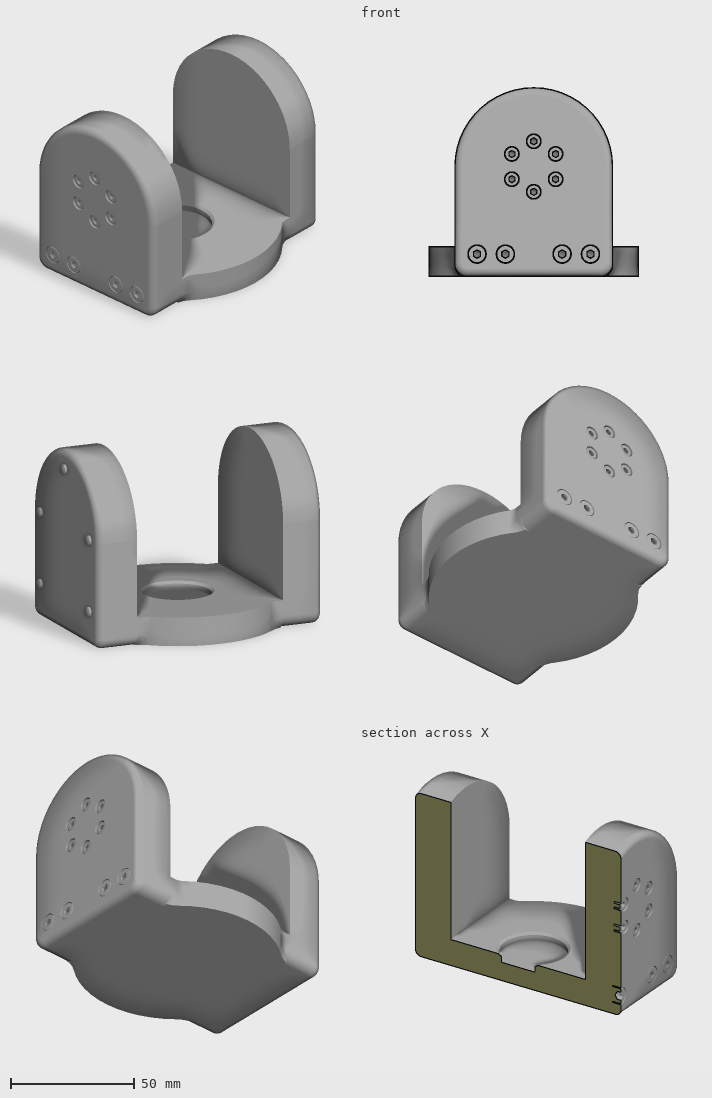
import cadquery as cq
import math

wall_width = 64.0
half_width = wall_width / 2
wall_outer_y = 50.0
wall_inner_y = 32.5
wall_thickness = wall_outer_y - wall_inner_y
crown_radius = half_width
crown_z = 44.5
edge_fillet = 3.0
front_corner_radius = 5.0
rear_corner_radius = 4.0

base_thickness = 12.0
base_corner_radius = 4.5
disc_radius = 42.5
neck_fillet = 5.0

pocket_diameter = 28.0
pocket_depth = 3.5
pocket_chamfer = 1.0

small_bore_diameter = 6.0
small_head_diameter = 5.5
small_hex_flats = 2.5
small_head_height = 3.0
small_head_recess = 0.5
small_screw_circle_radius = 10.25
small_screw_count = 6

large_bore_diameter = 7.5
large_head_diameter = 7.0
large_hex_flats = 3.0
large_head_height = 4.0
large_head_recess = 0.1
large_screw_xs = (-23.0, -11.5, 11.5, 23.0)
large_screw_z = 9.0

head_edge_fillet = 0.25
socket_depth_ratio = 0.5
socket_point_angle = 120.0

button_diameter = 4.0
button_height = 1.38
button_dome_height = 0.4
button_inset = 8.0
button_low_z = 14.5


def wall(corner_radius, outward):
    """Upright wall with a round crown and filleted outer rim; outward is -1 for front, 1 for rear."""
    arc_mid = corner_radius * (1 - math.sqrt(0.5))
    return (
        cq.Workplane("XZ", origin=(0, outward * wall_inner_y, 0))
        .moveTo(-half_width + corner_radius, 0)
        .lineTo(half_width - corner_radius, 0)
        .threePointArc((half_width - arc_mid, arc_mid), (half_width, corner_radius))
        .lineTo(half_width, crown_z)
        .threePointArc((0, crown_z + crown_radius), (-half_width, crown_z))
        .lineTo(-half_width, corner_radius)
        .threePointArc((-half_width + arc_mid, arc_mid), (-half_width + corner_radius, 0))
        .close()
        .extrude(-outward * wall_thickness)
        .faces(">Y" if outward > 0 else "<Y")
        .edges()
        .fillet(edge_fillet)
    )


def base():
    """Disc joined to a bar with rounded lower edges; the inside corners between them are blended."""
    bar = (
        cq.Workplane("XY")
        .box(wall_width, 2 * wall_inner_y, base_thickness, centered=(True, True, False))
        .edges("|Y and <Z")
        .fillet(base_corner_radius)
    )
    disc = cq.Workplane("XY").circle(disc_radius).extrude(base_thickness)
    joined = bar.union(disc)
    neck_x = half_width
    neck_y = math.sqrt(disc_radius**2 - neck_x**2)
    margin = 1.0
    reach = cq.Vector(neck_x + margin, neck_y + margin, base_thickness)
    neck_corners = cq.selectors.BoxSelector((-reach).toTuple(), reach.toTuple())
    return joined.edges("|Z").edges(neck_corners).fillet(neck_fillet)


def pocket():
    """Round blind pocket in the base's top face, with a chamfered rim."""
    radius = pocket_diameter / 2
    return (
        cq.Workplane("XZ")
        .moveTo(0, base_thickness)
        .lineTo(radius + pocket_chamfer, base_thickness)
        .lineTo(radius, base_thickness - pocket_chamfer)
        .lineTo(radius, base_thickness - pocket_depth)
        .lineTo(0, base_thickness - pocket_depth)
        .close()
        .revolve(360, (0, 0), (0, 1))
    )


def hexagon_socket(x, y, z, flats, depth):
    """Hexagonal recess running towards +Y from the given point, ending in a conical point."""
    corner_diameter = flats / math.cos(math.pi / 6)
    prism = (
        cq.Workplane("XZ", origin=(x, y, z))
        .transformed(rotate=(0, 0, 30))
        .polygon(6, corner_diameter)
        .extrude(-depth)
    )
    point_length = flats / 2 / math.tan(math.radians(socket_point_angle / 2))
    tip_base = cq.Vector(x, y + depth, z)
    tip = cq.Solid.makeCone(flats / 2, 0, point_length, tip_base, cq.Vector(0, 1, 0))
    return prism.union(cq.Workplane(tip))


def add_sunk_screw(body, x, z, bore_diameter, head_diameter, flats, head_height, recess):
    """Socket-head screw seated in a counterbore of the front wall."""
    head_y = -wall_outer_y + recess
    counterbore = (
        cq.Workplane("XZ", origin=(x, -wall_outer_y, z))
        .circle(bore_diameter / 2)
        .extrude(-(head_height + recess))
    )
    head = (
        cq.Workplane("XZ", origin=(x, head_y, z))
        .circle(head_diameter / 2)
        .extrude(-head_height)
        .faces("<Y")
        .edges()
        .fillet(head_edge_fillet)
    )
    socket = hexagon_socket(x, head_y, z, flats, head_height * socket_depth_ratio)
    return body.cut(counterbore).union(head.cut(socket))


def add_small_screws(body):
    """Ring of small screws around the crown centre."""
    for i in range(small_screw_count):
        angle = math.pi / 2 + 2 * math.pi * i / small_screw_count
        x = small_screw_circle_radius * math.cos(angle)
        z = crown_z + small_screw_circle_radius * math.sin(angle)
        body = add_sunk_screw(
            body,
            x,
            z,
            small_bore_diameter,
            small_head_diameter,
            small_hex_flats,
            small_head_height,
            small_head_recess,
        )
    return body


def add_large_screws(body):
    """Row of large screws that enter the end of the base."""
    for x in large_screw_xs:
        body = add_sunk_screw(
            body,
            x,
            large_screw_z,
            large_bore_diameter,
            large_head_diameter,
            large_hex_flats,
            large_head_height,
            large_head_recess,
        )
    return body


def button(x, z):
    """Domed button head standing on the rear wall."""
    radius = button_diameter / 2
    rim_height = button_height - button_dome_height
    dome_radius = (radius**2 + button_dome_height**2) / (2 * button_dome_height)
    mid_drop = dome_radius - math.sqrt(dome_radius**2 - (radius / 2) ** 2)
    return (
        cq.Workplane("XY")
        .lineTo(radius, 0)
        .lineTo(radius, rim_height)
        .threePointArc((radius / 2, button_height - mid_drop), (0, button_height))
        .close()
        .revolve(360, (0, 0), (0, 1))
        .translate((x, wall_outer_y, z))
    )


def add_buttons(body):
    """One button at the crown and two pairs down the sides, inset equally from the wall outline."""
    side_x = crown_radius - button_inset
    body = body.union(button(0, crown_z + side_x))
    for x in (-side_x, side_x):
        for z in (crown_z, button_low_z):
            body = body.union(button(x, z))
    return body


result = base().cut(pocket())
result = result.union(wall(front_corner_radius, -1))
result = result.union(wall(rear_corner_radius, 1))
result = add_small_screws(result)
result = add_large_screws(result)
result = add_buttons(result)